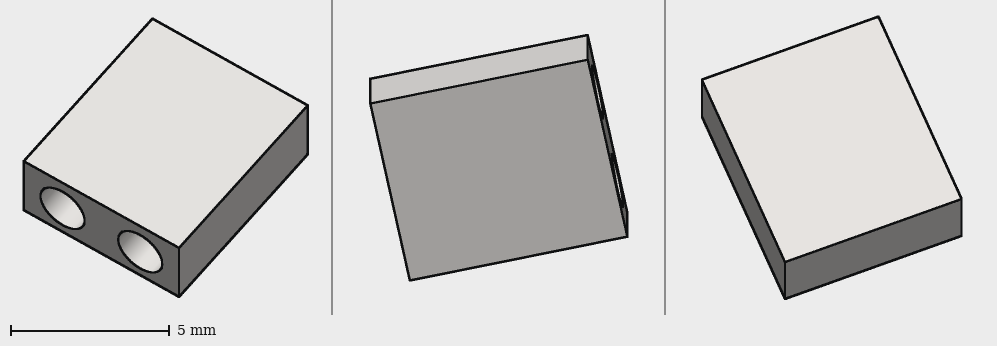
import cadquery as cq

width = 6.0
length = 7.0
height = 2.5

bore_diameter = 1.7
bore_pitch = width / 2
bore_drop = 0.05
bore_depth = 4.9

block = cq.Workplane("XY").box(width, length, height)


def bore(x):
    """Cylinder running from the -Y face into the block."""
    start = cq.Vector(x, -length / 2, -bore_drop)
    inward = cq.Vector(0, 1, 0)
    return cq.Solid.makeCylinder(bore_diameter / 2, bore_depth, start, inward)


result = block
for side in (-1, 1):
    result = result.cut(cq.Workplane(obj=bore(side * bore_pitch / 2)))